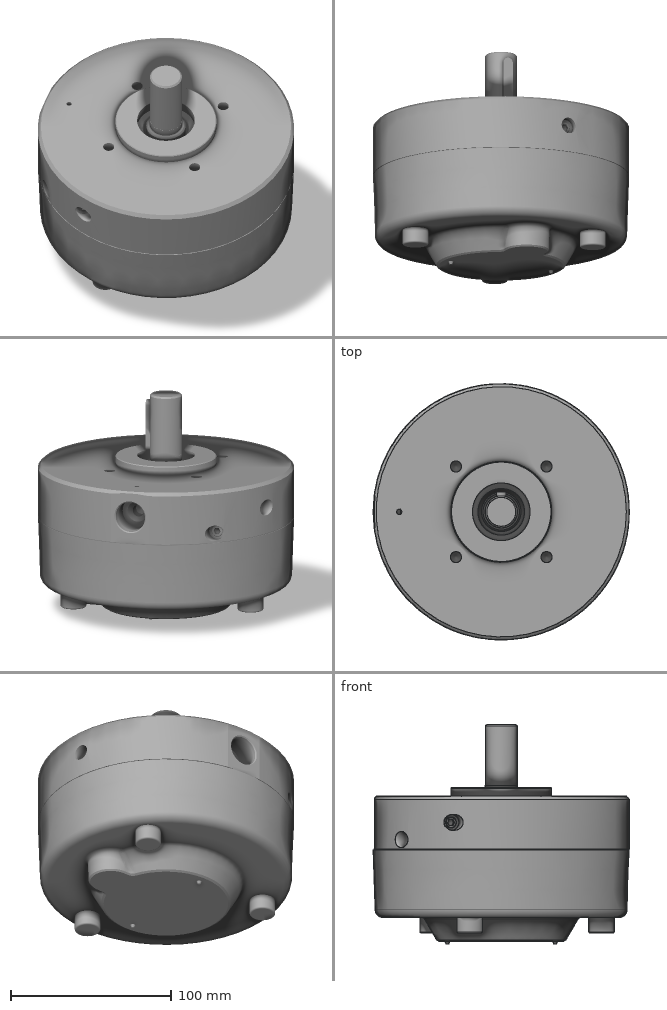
import cadquery as cq
import math


BODY_RADIUS = 80.0
FLANGE_BOTTOM_Z = -33.0
FLANGE_CHAMFER = 1.9
PORT_FLAT_X = -79.0

JOINT_HEIGHT = 0.5
JOINT_DEPTH = 0.6
HOUSING_TOP_Z = FLANGE_BOTTOM_Z - JOINT_HEIGHT

HOUSING_BOTTOM_Z = -75.7
HOUSING_BOTTOM_RADIUS = 78.5
HOUSING_FILLET = 5.1

CONE_BOTTOM_Z = -90.5
CONE_TOP_RADIUS = 48.5
CONE_BOTTOM_RADIUS = 39.8
CONE_EDGE_CHAMFER = 1.0
LUG_RADIUS = 14.4
LUG_CENTER_Y = 43.7
LUG_DRAFT_ANGLE = 2.0
LUG_SIDE_FILLET = 3.2
REAR_FILLET = 2.2
REAR_HEIGHT = HOUSING_BOTTOM_Z - CONE_BOTTOM_Z

PIN_SPACING = 67.2
PIN_BASE_RADIUS = 1.6
PIN_TIP_RADIUS = 0.8
PIN_LENGTH = 1.8

BOLT_COUNT = 3
BOLT_CIRCLE_RADIUS = 64.0
BOLT_FIRST_ANGLE = 12.0
BOLT_HEAD_DIAMETER = 16.0
BOLT_HEAD_HEIGHT = 9.6
BOLT_HEAD_FILLET = 1.0

PILOT_DIAMETER = 63.0
PILOT_HEIGHT = 5.5
PILOT_CHAMFER = 0.5
RECESS_DIAMETER = 36.0
RECESS_FLOOR_Z = -1.0
SEAL_OUTER_RADIUS = 14.5
SEAL_INNER_RADIUS = 12.3
SEAL_LIP_RADIUS = 11.4
SEAL_DEPTH = 4.0
SEAL_BEVEL = 0.5
SEAL_LIP_TOP_Z = 2.0

SHAFT_DIAMETER = 20.0
JOURNAL_DIAMETER = 20.2
JOURNAL_TOP_Z = 6.5
SHAFT_TOP_Z = 44.8
SHAFT_CHAMFER = 1.0
KEY_WIDTH = 6.0
KEY_BOTTOM_Z = 8.3
KEY_TOP_Z = 40.5
KEY_OUTER_Y = 12.5

DRILL_POINT_ANGLE = 118.0
MOUNT_CIRCLE_RADIUS = 40.0
MOUNT_HOLE_DIAMETER = 6.9
MOUNT_HOLE_DEPTH = 20.0
LOCATING_HOLE_X = -63.7
LOCATING_HOLE_DIAMETER = 3.2
LOCATING_HOLE_DEPTH = 6.4

PORT_Z = -16.3
PORT_DIAMETER = 19.0
PORT_DEPTH = 16.0
PORT_CHAMFER = 0.6
PORT_SEAT_DIAMETER = 12.8
PORT_DRILL_DIAMETER = 7.4
PORT_SEAT_DEPTH = 2.4
PORT_DRILL_DEPTH = 9.6

SIDE_HOLE_DIAMETER = 9.9
SCREW_DIAMETER = 7.0
SCREW_CHAMFER = 0.3
SCREW_SEAT_DEPTH = 0.6
SOCKET_ACROSS_CORNERS = 4.6
SOCKET_DEPTH = 1.9
SOCKET_POINT_DEPTH = 1.1
LOW_HOLE_Y = -49.9
LOW_HOLE_Z = -27.0
LOW_HOLE_DEPTH = 5.6
UPPER_HOLE_Z = PORT_Z
TILTED_HOLE_X = -29.6
TILTED_HOLE_ANGLE = 17.0
TILTED_HOLE_DEPTH = 5.5
FAR_HOLE_X = -14.4
FAR_HOLE_DEPTH = 6.4


def cone_frustum(start_radius, end_radius, start, direction, length):
    """Cone frustum running from a start point along a direction."""
    solid = cq.Solid.makeCone(start_radius, end_radius, length, cq.Vector(*start), cq.Vector(*direction))
    return cq.Workplane(obj=solid)


def drill(diameter, depth, start, direction):
    """Round hole with a drill-point end."""
    radius = diameter / 2
    point_length = radius / math.tan(math.radians(DRILL_POINT_ANGLE / 2))
    axis = cq.Vector(*direction).normalized()
    point_start = cq.Vector(*start) + axis * depth
    bore = cq.Workplane(obj=cq.Solid.makeCylinder(radius, depth, cq.Vector(*start), axis))
    return bore.union(cone_frustum(radius, 0, point_start.toTuple(), axis.toTuple(), point_length))


def rim_offset(along):
    """Offset from a centre axis to the body cylinder, at a given offset along that axis."""
    return math.sqrt(BODY_RADIUS**2 - along**2)


def flange():
    body = (
        cq.Workplane().workplane(offset=FLANGE_BOTTOM_Z)
        .circle(BODY_RADIUS).extrude(-FLANGE_BOTTOM_Z)
        .faces(">Z").edges().chamfer(FLANGE_CHAMFER)
    )
    beyond_flat = (
        cq.Workplane().box(BODY_RADIUS, 2 * BODY_RADIUS, 2 * BODY_RADIUS)
        .translate((PORT_FLAT_X - BODY_RADIUS / 2, 0, 0))
    )
    pilot = (
        cq.Workplane().circle(PILOT_DIAMETER / 2).extrude(PILOT_HEIGHT)
        .faces(">Z").edges().chamfer(PILOT_CHAMFER)
    )
    joint = (
        cq.Workplane().workplane(offset=HOUSING_TOP_Z)
        .circle(BODY_RADIUS - JOINT_DEPTH).extrude(JOINT_HEIGHT)
    )
    return body.cut(beyond_flat).union(pilot).union(joint)


def shaft_recess():
    """Recess around the shaft, leaving a raised seal lip inside a tapered groove."""
    recess = (
        cq.Workplane().workplane(offset=RECESS_FLOOR_Z)
        .circle(RECESS_DIAMETER / 2).extrude(PILOT_HEIGHT - RECESS_FLOOR_Z)
    )
    seal_groove = (
        cq.Workplane("XZ")
        .moveTo(SEAL_INNER_RADIUS, RECESS_FLOOR_Z)
        .lineTo(SEAL_INNER_RADIUS, RECESS_FLOOR_Z - SEAL_DEPTH)
        .lineTo(SEAL_OUTER_RADIUS - SEAL_BEVEL, RECESS_FLOOR_Z - SEAL_BEVEL)
        .lineTo(SEAL_OUTER_RADIUS, RECESS_FLOOR_Z)
        .close().revolve(360, (0, 0), (0, 1))
    )
    lip = (
        cq.Workplane().workplane(offset=RECESS_FLOOR_Z)
        .circle(SEAL_INNER_RADIUS).extrude(SEAL_LIP_TOP_Z - RECESS_FLOOR_Z)
        .faces(">Z").edges().chamfer(SEAL_INNER_RADIUS - SEAL_LIP_RADIUS)
    )
    return recess.union(seal_groove).cut(lip)


def shaft():
    rod = (
        cq.Workplane().workplane(offset=FLANGE_BOTTOM_Z)
        .circle(SHAFT_DIAMETER / 2).extrude(SHAFT_TOP_Z - FLANGE_BOTTOM_Z)
        .faces(">Z").edges().chamfer(SHAFT_CHAMFER)
    )
    journal = (
        cq.Workplane().workplane(offset=FLANGE_BOTTOM_Z)
        .circle(JOURNAL_DIAMETER / 2).extrude(JOURNAL_TOP_Z - FLANGE_BOTTOM_Z)
    )
    key = (
        cq.Workplane("XZ").center(0, (KEY_BOTTOM_Z + KEY_TOP_Z) / 2)
        .slot2D(KEY_TOP_Z - KEY_BOTTOM_Z, KEY_WIDTH, 90).extrude(-KEY_OUTER_Y)
    )
    return rod.union(journal).union(key)


def housing():
    """Drafted lower body with the rear cone and lug blended onto its end."""
    drum = cone_frustum(
        BODY_RADIUS, HOUSING_BOTTOM_RADIUS, (0, 0, HOUSING_TOP_Z), (0, 0, -1),
        HOUSING_TOP_Z - HOUSING_BOTTOM_Z,
    ).faces("<Z").edges().fillet(HOUSING_FILLET)
    cone = cone_frustum(
        CONE_TOP_RADIUS, CONE_BOTTOM_RADIUS, (0, 0, HOUSING_BOTTOM_Z), (0, 0, -1), REAR_HEIGHT
    )
    lug = (
        cq.Workplane().workplane(offset=HOUSING_BOTTOM_Z)
        .moveTo(-LUG_RADIUS, 0)
        .lineTo(LUG_RADIUS, 0)
        .lineTo(LUG_RADIUS, LUG_CENTER_Y)
        .threePointArc((0, LUG_CENTER_Y + LUG_RADIUS), (-LUG_RADIUS, LUG_CENTER_Y))
        .close().extrude(-REAR_HEIGHT, taper=LUG_DRAFT_ANGLE)
    )
    rear = cone.union(lug)
    rear = rear.edges("%HYPERBOLA or %BSPLINE").fillet(LUG_SIDE_FILLET)
    rear = rear.faces("<Z").edges().chamfer(CONE_EDGE_CHAMFER)
    reach = LUG_CENTER_Y + LUG_RADIUS + REAR_FILLET
    rear_root = cq.selectors.BoxSelector(
        (-reach, -reach, HOUSING_BOTTOM_Z - REAR_FILLET / 2),
        (reach, reach, HOUSING_BOTTOM_Z + REAR_FILLET / 2),
        boundingbox=True,
    )
    return drum.union(rear).edges(rear_root).fillet(REAR_FILLET)


def bolt_heads():
    return (
        cq.Workplane().workplane(offset=HOUSING_BOTTOM_Z)
        .polarArray(BOLT_CIRCLE_RADIUS, BOLT_FIRST_ANGLE, 360, BOLT_COUNT)
        .circle(BOLT_HEAD_DIAMETER / 2).extrude(-BOLT_HEAD_HEIGHT)
        .faces("<Z").edges().fillet(BOLT_HEAD_FILLET)
    )


def pressure_port():
    start = (PORT_FLAT_X, 0, PORT_Z)
    radius = PORT_DIAMETER / 2
    inward = (1, 0, 0)
    floor = (PORT_FLAT_X + PORT_DEPTH, 0, PORT_Z)
    bore = cone_frustum(radius + PORT_CHAMFER, radius, start, inward, PORT_CHAMFER)
    bore = bore.union(cq.Workplane("YZ", origin=start).circle(radius).extrude(PORT_DEPTH))
    seat = cone_frustum(PORT_SEAT_DIAMETER / 2, PORT_DRILL_DIAMETER / 2, floor, inward, PORT_SEAT_DEPTH)
    return bore.union(seat).union(drill(PORT_DRILL_DIAMETER, PORT_DRILL_DEPTH, floor, inward))


def plugged_hole(rim_point, inward, depth):
    """Side hole ending in a conical seat and a screw face with a hexagon socket.

    The bore also runs outward from the rim point so that it clears the curved rim.
    """
    plane = cq.Plane(rim_point, xDir=cq.Vector(*inward).cross(cq.Vector(0, 0, 1)), normal=inward)
    bore = (
        cq.Workplane(plane).workplane(offset=-depth)
        .circle(SIDE_HOLE_DIAMETER / 2).extrude(2 * depth)
    )
    floor = plane.toWorldCoords((0, 0, depth)).toTuple()
    seat = cone_frustum(SIDE_HOLE_DIAMETER / 2, SCREW_DIAMETER / 2, floor, inward, SCREW_SEAT_DEPTH)
    screw_base = plane.toWorldCoords((0, 0, depth + SCREW_SEAT_DEPTH))
    screw_end = cone_frustum(
        SCREW_DIAMETER / 2, SCREW_DIAMETER / 2 - SCREW_CHAMFER,
        screw_base.toTuple(), (-plane.zDir).toTuple(), SCREW_CHAMFER,
    )
    socket_depth = depth + SCREW_SEAT_DEPTH + SOCKET_DEPTH
    socket = cq.Workplane(plane).polygon(6, SOCKET_ACROSS_CORNERS).extrude(socket_depth)
    socket_end = plane.toWorldCoords((0, 0, socket_depth)).toTuple()
    socket_radius = SOCKET_ACROSS_CORNERS / 2 * math.cos(math.pi / 6)
    socket_point = cone_frustum(socket_radius, 0, socket_end, inward, SOCKET_POINT_DEPTH)
    hole = bore.union(seat).cut(screw_end)
    return hole.union(socket).union(socket_point)


part = flange().cut(shaft_recess()).union(shaft()).union(housing()).union(bolt_heads())

for side in (-1, 1):
    pin_base = (side * PIN_SPACING / 2, 0, CONE_BOTTOM_Z)
    part = part.union(cone_frustum(PIN_BASE_RADIUS, PIN_TIP_RADIUS, pin_base, (0, 0, -1), PIN_LENGTH))

mount_offset = MOUNT_CIRCLE_RADIUS / math.sqrt(2)
for x in (-mount_offset, mount_offset):
    for y in (-mount_offset, mount_offset):
        part = part.cut(drill(MOUNT_HOLE_DIAMETER, MOUNT_HOLE_DEPTH, (x, y, 0), (0, 0, -1)))

locating_hole = (
    cq.Workplane().center(LOCATING_HOLE_X, 0)
    .circle(LOCATING_HOLE_DIAMETER / 2).extrude(-LOCATING_HOLE_DEPTH)
)
part = part.cut(locating_hole).cut(pressure_port())

low_rim = (-rim_offset(LOW_HOLE_Y), LOW_HOLE_Y, LOW_HOLE_Z)
part = part.cut(plugged_hole(low_rim, (1, 0, 0), LOW_HOLE_DEPTH))

tilt = math.radians(TILTED_HOLE_ANGLE)
tilted_rim = (TILTED_HOLE_X, -rim_offset(TILTED_HOLE_X), UPPER_HOLE_Z)
part = part.cut(plugged_hole(tilted_rim, (-math.sin(tilt), math.cos(tilt), 0), TILTED_HOLE_DEPTH))

far_rim = (FAR_HOLE_X, rim_offset(FAR_HOLE_X), UPPER_HOLE_Z)
result = part.cut(plugged_hole(far_rim, (0, -1, 0), FAR_HOLE_DEPTH))